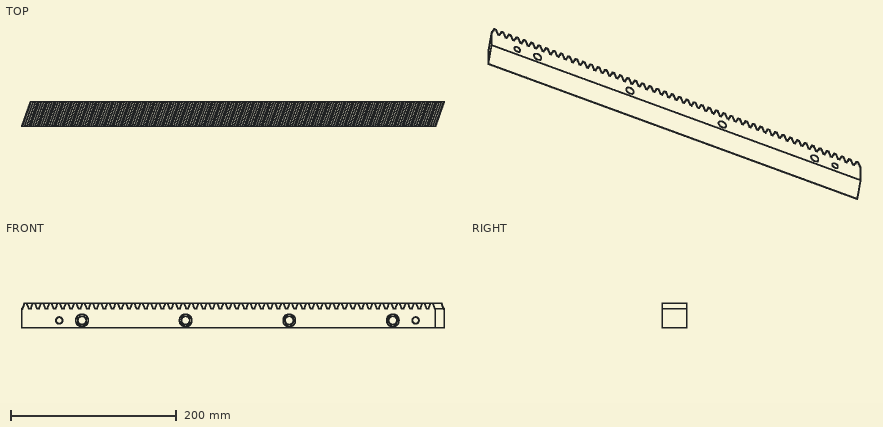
import cadquery as cq
import math

length = 499.31
width = 30.0
height = 29.75
helix_angle = math.radians(19.5283)
end_shift = width * math.tan(helix_angle)

module = 3.0
normal_pressure_angle = math.radians(20.0)
pitch = math.pi * module / math.cos(helix_angle)
tooth_count = 50
addendum = module
dedendum = 1.25 * module
tooth_height = addendum + dedendum
root_level = height - tooth_height
flank_run_per_height = math.tan(normal_pressure_angle) / math.cos(helix_angle)
flank_run = tooth_height * flank_run_per_height
tip_land = pitch / 2 - 2 * addendum * flank_run_per_height
root_land = pitch - tip_land - 2 * flank_run
teeth_run = (tooth_count - 1) * pitch + tip_land + 2 * flank_run
end_root_land = (length - teeth_run) / 2

hole_level = 9.0
hole_middle = end_shift + length / 2
screw_hole_spacing = 125.0
screw_hole_count = 4
screw_hole_diameter = 10.0
counterbore_diameter = 15.0
counterbore_depth = 9.0
dowel_hole_spacing = 430.0
dowel_hole_diameter = 7.7


def slanted_bar():
    """Bar with a parallelogram plan, its ends parallel to the teeth."""
    plan = [
        (0, 0),
        (length, 0),
        (length + end_shift, width),
        (end_shift, width),
    ]
    return cq.Workplane("XY").polyline(plan).close().extrude(height)


def slanted_prism(points):
    """Prism from a front profile, swept across the width at the helix angle."""
    front = cq.Wire.makePolygon([cq.Vector(x, 0, z) for x, z in points], close=True)
    sweep = cq.Vector(end_shift, width, 0)
    return cq.Solid.extrudeLinear(front, [], sweep)


def tooth_gap(root_start):
    """Trapezoidal gap whose flat root begins at root_start."""
    return slanted_prism([
        (root_start - flank_run, height),
        (root_start, root_level),
        (root_start + root_land, root_level),
        (root_start + root_land + flank_run, height),
    ])


def cut_teeth(bar):
    first_gap = end_root_land - root_land
    gaps = [tooth_gap(first_gap + i * pitch) for i in range(tooth_count + 1)]
    return bar.cut(cq.Workplane("XY").newObject(gaps).combine())


def front_cylinder(x, diameter, depth):
    """Cylinder entering the front face at hole level."""
    return (
        cq.Workplane("XZ", origin=(x, 0, hole_level))
        .circle(diameter / 2)
        .extrude(-depth)
    )


def drill_screw_holes(bar):
    for i in range(screw_hole_count):
        x = hole_middle + (i - (screw_hole_count - 1) / 2) * screw_hole_spacing
        bar = bar.cut(front_cylinder(x, screw_hole_diameter, width))
        bar = bar.cut(front_cylinder(x, counterbore_diameter, counterbore_depth))
    return bar


def drill_dowel_holes(bar):
    for side in (-1, 1):
        x = hole_middle + side * dowel_hole_spacing / 2
        bar = bar.cut(front_cylinder(x, dowel_hole_diameter, width))
    return bar


result = drill_dowel_holes(drill_screw_holes(cut_teeth(slanted_bar())))